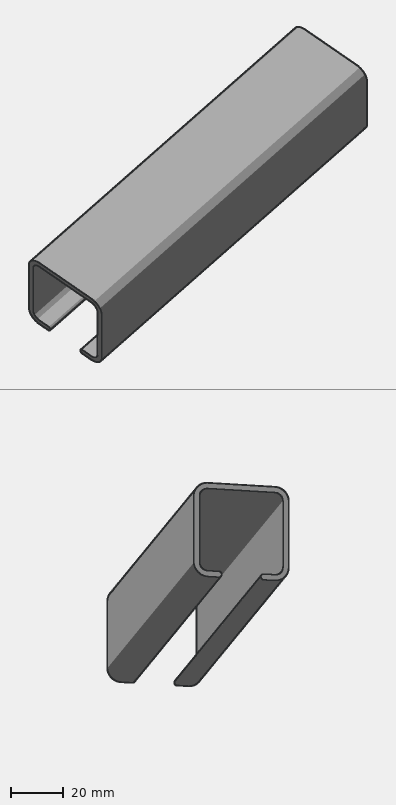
import cadquery as cq

length = 152.4
width = 37.0
height = 37.0
wall = 2.3
outer_radius = 5.5
slot_width = 15.2

inner_radius = outer_radius - wall
lip_end_radius = wall / 2
lip_end_x = slot_width / 2 + lip_end_radius
lip_middle_z = -height / 2 + wall / 2


def rounded_bar(bar_width, bar_height, corner_radius):
    """Bar along Y, centred on the origin, with rounded lengthwise corners."""
    return cq.Workplane("XY").box(bar_width, length, bar_height).edges("|Y").fillet(corner_radius)


outside = rounded_bar(width, height, outer_radius)
inside = rounded_bar(width - 2 * wall, height - 2 * wall, inner_radius)
tube = outside.cut(inside)

opening = cq.Workplane("XY").box(2 * lip_end_x, length, 2 * wall)
channel = tube.cut(opening.translate((0, 0, lip_middle_z)))

lip_ends = (
    cq.Workplane("XZ")
    .pushPoints([(-lip_end_x, lip_middle_z), (lip_end_x, lip_middle_z)])
    .circle(lip_end_radius)
    .extrude(length / 2, both=True)
)
result = channel.union(lip_ends)